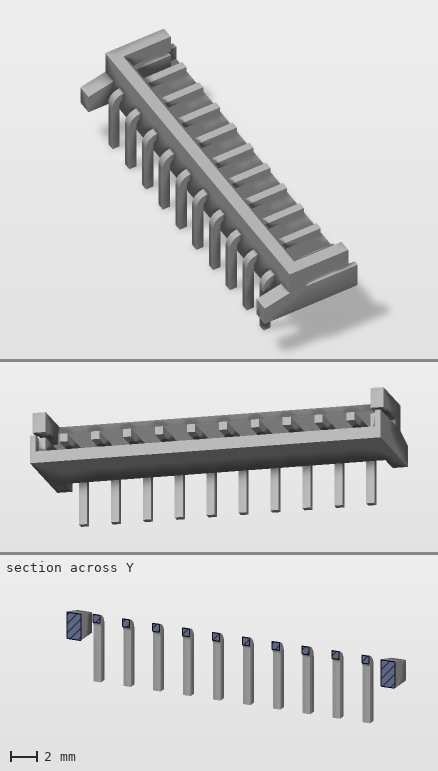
import cadquery as cq
length = 27.5
height = 4.2
depth = 6.0
floor_height = 0.9

side_wall = 1.02
side_wall_top = 2.2
thin_side_wall = 0.45
arm_depth = 5.17

front_wall = 1.48
lead_in_depth = 0.5
lead_in_height = 0.7

slot_front_top = 2.7
slot_bend = 2.65
slot_top = 2.85
hook_depth = 1.02
hook_bottom = 2.65

foot_width = 1.2
foot_reach = 2.2
foot_tip_height = 1.65

pin_count = 10
pin_pitch = 2.5
pin_size = 0.63
pin_top = 2.3
pin_back = 5.5
pin_reach = 1.02
pin_drop = 3.2


def extrude_profile(points, width, x_center=0):
    """Extrude a closed (y, z) outline along X, centered on x_center."""
    start = x_center - width / 2
    return cq.Workplane("YZ", origin=(start, 0, 0)).polyline(points).close().extrude(width)


def make_housing():
    """Slotted side profile, opened up between the side walls and at their rear ends."""
    hook_front = arm_depth - hook_depth
    body = extrude_profile(
        [
            (0, 0),
            (depth, 0),
            (depth, side_wall_top),
            (front_wall, side_wall_top),
            (front_wall, slot_front_top),
            (slot_bend, slot_top),
            (hook_front, slot_top),
            (hook_front, hook_bottom),
            (arm_depth, hook_bottom),
            (arm_depth, height),
            (0, height),
        ],
        length,
    )
    mouth = extrude_profile(
        [
            (front_wall, floor_height),
            (depth, floor_height),
            (depth, height),
            (front_wall - lead_in_depth, height),
            (front_wall, height - lead_in_height),
        ],
        length - 2 * side_wall,
    )
    rear_relief = extrude_profile(
        [
            (arm_depth, floor_height),
            (depth, floor_height),
            (depth, side_wall_top),
            (arm_depth, side_wall_top),
        ],
        length - 2 * thin_side_wall,
    )
    return body.cut(mouth).cut(rear_relief)


def make_foot(x_center):
    """Foot with a top that slopes down toward its tip."""
    outline = [(0, 0), (0, side_wall_top), (-foot_reach, foot_tip_height), (-foot_reach, 0)]
    return extrude_profile(outline, foot_width, x_center)


def make_pin(x_center):
    """Pin that runs forward through the front wall and bends down."""
    inner_radius = pin_reach - pin_size
    bend_height = pin_top - pin_reach
    outline = (
        cq.Workplane("YZ", origin=(x_center - pin_size / 2, 0, 0))
        .moveTo(pin_back, pin_top)
        .lineTo(0, pin_top)
        .radiusArc((-pin_reach, bend_height), -pin_reach)
        .lineTo(-pin_reach, -pin_drop)
        .lineTo(-inner_radius, -pin_drop)
        .lineTo(-inner_radius, bend_height)
        .radiusArc((0, pin_top - pin_size), inner_radius)
        .lineTo(pin_back, pin_top - pin_size)
        .close()
    )
    return outline.extrude(pin_size)


result = make_housing()
for side in (-1, 1):
    result = result.union(make_foot(side * (length - foot_width) / 2))
for index in range(pin_count):
    result = result.union(make_pin((index - (pin_count - 1) / 2) * pin_pitch))